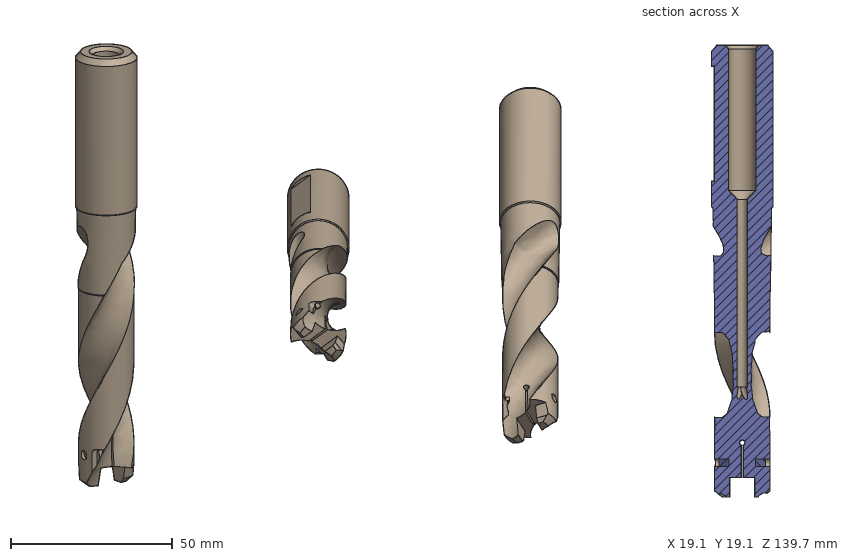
import cadquery as cq
import math

total_length = 139.65
shank_radius = 19.05 / 2
shank_length = 50.0
shank_chamfer_radial = 1.6
shank_chamfer_height = 1.9
shank_bottom_z = total_length - shank_length

step_height = 0.35
neck_top_radius = 9.15
neck_bottom_radius = 8.8
body_radius = 8.6
body_top_z = 63.5

tip_radius = 6.2
tip_bevel_height = 1.9

flat_top_z = 133.1
flat_bottom_z = 97.6
flat_depth = 0.8

bore_radius = 4.15
bore_mouth_radius = 5.3
bore_mouth_height = 1.2
bore_depth = 45.0
bore_bottom_z = total_length - bore_depth
duct_radius = 1.5
duct_cone_height = bore_radius - duct_radius
duct_split_z = 34.0

outlet_radius = 0.9
outlet_x = 4.6
outlet_y = -6.4
outlet_z = 11.0
outlet_overrun = 3.0

flute_pitch = 100.0
web_radius = 2.8
flute_half_opening = math.radians(47)
flute_level_z = 62.8
flute_helix_top_z = 73.5
flute_end_z = 84.5
flute_start_z = -1.0
opening_depth = body_radius * math.cos(flute_half_opening) - web_radius
opening_half_width = body_radius * math.sin(flute_half_opening)
flute_radius = (opening_depth**2 + opening_half_width**2) / (2 * opening_depth)
flute_offset = web_radius + flute_radius

seat_width = 7.6
seat_height = 6.0
lug_side_x = -4.6
lug_taper = 0.95
lug_bevel_width = 0.9
lug_bevel_height = 1.5
slit_width = 0.6
slit_top_z = 16.8
slit_hole_radius = 0.8

pocket_x = 2.7
pocket_floor_y = -6.1
pocket_top_z = 13.3
pocket_corner_radius = 1.3

plug_radius = 1.4
plug_x = -0.85
plug_z = 10.6
plug_recess = 1.4
plug_length = 3.0

margin = 1.0
cut_span = 2 * shank_radius


def both_sides(shape):
    """The shape and its copy half a turn round the drill axis."""
    return [shape.rotate((0, 0, 0), (0, 0, 1), turn) for turn in (0, 180)]


def flute_angle(z):
    """Direction, in degrees, that one of the flutes faces at height z."""
    return 360 * (z - flute_level_z) / flute_pitch


def flute_centre(z, offset):
    angle = math.radians(flute_angle(z))
    return cq.Vector(offset * math.cos(angle), offset * math.sin(angle), z)


def make_blank():
    profile = [
        (0, 0),
        (tip_radius, 0),
        (body_radius, tip_bevel_height),
        (body_radius, body_top_z - step_height),
        (neck_bottom_radius, body_top_z),
        (neck_top_radius, shank_bottom_z - step_height),
        (shank_radius, shank_bottom_z),
        (shank_radius, total_length - shank_chamfer_height),
        (shank_radius - shank_chamfer_radial, total_length),
        (0, total_length),
    ]
    return cq.Workplane("XZ").polyline(profile).close().revolve(360, (0, 0), (0, 1))


def make_shank_flat():
    return (
        cq.Workplane("XY")
        .box(cut_span, cut_span, flat_top_z - flat_bottom_z, centered=(True, False, False))
        .translate((0, shank_radius - flat_depth, flat_bottom_z))
    )


def make_coolant_bore():
    profile = [
        (0, duct_split_z),
        (duct_radius, duct_split_z),
        (duct_radius, bore_bottom_z - duct_cone_height),
        (bore_radius, bore_bottom_z),
        (bore_radius, total_length - bore_mouth_height),
        (bore_mouth_radius, total_length),
        (0, total_length),
    ]
    return cq.Workplane("XZ").polyline(profile).close().revolve(360, (0, 0), (0, 1))


def make_outlet():
    start = cq.Vector(0, 0, duct_split_z + margin)
    run = cq.Vector(outlet_x, outlet_y, outlet_z) - start
    outlet = cq.Solid.makeCylinder(outlet_radius, run.Length + outlet_overrun, start, run)
    return cq.Workplane(outlet)


def make_flute_helix():
    height = flute_helix_top_z - flute_start_z
    return (
        cq.Workplane("XY")
        .moveTo(-flute_offset, 0)
        .circle(flute_radius)
        .twistExtrude(height, 360 * height / flute_pitch)
        .rotate((0, 0, 0), (0, 0, 1), flute_angle(flute_start_z))
        .translate((0, 0, flute_start_z))
    )


def make_flute_runout():
    """Slanted cylinder that carries the top of a flute outward until it leaves the neck."""
    start = flute_centre(flute_helix_top_z, flute_offset)
    end = flute_centre(flute_end_z, neck_top_radius + flute_radius)
    rim = cq.Wire.makeCircle(flute_radius, start, cq.Vector(0, 0, 1))
    return cq.Workplane(cq.Solid.extrudeLinear(rim, [], end - start))


def make_insert_seat():
    return cq.Workplane("XY").box(cut_span, seat_width, 2 * seat_height)


def make_lug_side():
    """Wedge beside the -Y lug, which narrows the lug and bevels its end."""
    outline = [
        (lug_side_x, seat_height),
        (lug_side_x + lug_taper, lug_bevel_height),
        (lug_side_x + lug_taper + lug_bevel_width, 0),
        (-cut_span, 0),
        (-cut_span, seat_height),
    ]
    return cq.Workplane("XZ").polyline(outline).close().extrude(cut_span)


def make_clamp_slit():
    slit = cq.Workplane("XY").box(cut_span, slit_width, slit_top_z, centered=(True, True, False))
    hole = (
        cq.Workplane("YZ")
        .center(0, slit_top_z)
        .circle(slit_hole_radius)
        .extrude(cut_span / 2, both=True)
    )
    return slit.union(hole)


def make_lug_pocket():
    return (
        cq.Workplane("XY")
        .box(cut_span, cut_span, pocket_top_z, centered=False)
        .edges("|Y and <X and >Z")
        .fillet(pocket_corner_radius)
        .translate((pocket_x, pocket_floor_y - cut_span, 0))
    )


def make_cross_rod(start_y, length):
    """Rod along +Y from start_y on the line of the plug in the -Y lug."""
    return (
        cq.Workplane("XZ", origin=(plug_x, start_y, plug_z))
        .circle(plug_radius)
        .extrude(-length)
    )


def make_body():
    body = make_blank().cut(make_shank_flat()).cut(make_coolant_bore())
    body = body.cut(make_insert_seat()).cut(make_clamp_slit())
    plug_hole = make_cross_rod(-body_radius - margin, margin + plug_recess + plug_length)
    cutters = [
        make_flute_helix(),
        make_flute_runout(),
        make_lug_side(),
        make_lug_pocket(),
        make_outlet(),
        plug_hole,
    ]
    for cutter in cutters:
        for copy in both_sides(cutter):
            body = body.cut(copy)
    return body


body = make_body()
plugs = both_sides(make_cross_rod(-body_radius + plug_recess, plug_length))

result = cq.Compound.makeCompound([body.val(), *[plug.val() for plug in plugs]])